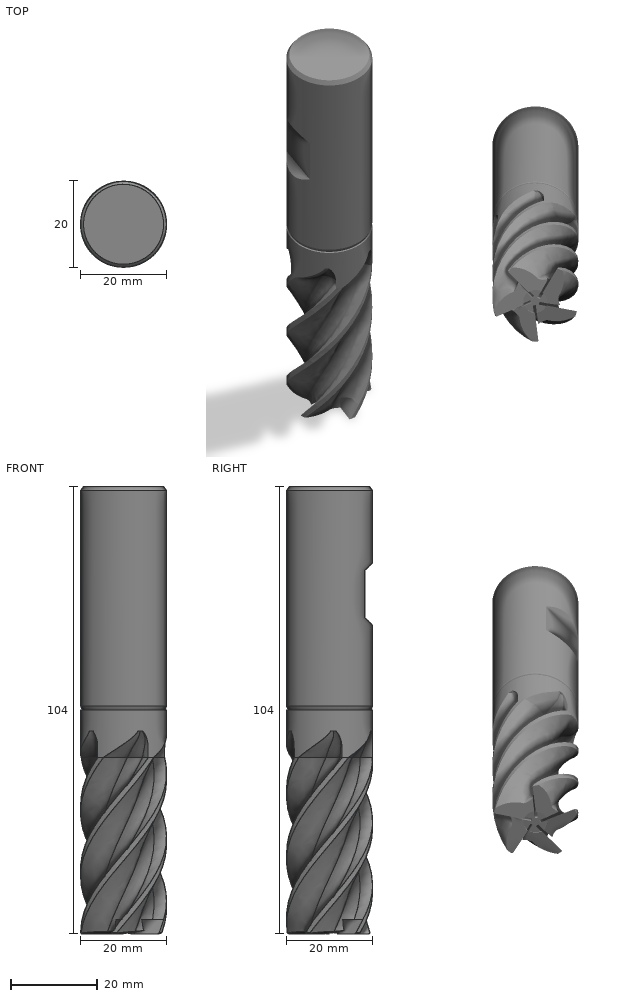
import cadquery as cq
import math

radius = 10.0
total_length = 104.0
cutting_length = 41.0

shank_bottom = 53.0
shank_chamfer_height = 1.0
shank_chamfer_width = 0.7
neck_top = 52.0
neck_radius = radius
neck_groove_radius = 9.6

flat_depth = 1.8
flat_length = 11.0
flat_center_z = 79.0

tooth_count = 5
tooth_pitch = 360.0 / tooth_count
helix_angle = 40.2
lead = 2 * math.pi * radius / math.tan(math.radians(helix_angle))
twist = 360.0 * cutting_length / lead
tip_phase = 34.5

margin_angle = 9.0
relief_bulge = 0.6
root_start_radius = 5.5
root_start_angle = 46.0
root_middle_radius = 5.6
root_middle_angle = 63.0
rake_foot_radius = 7.1
rake_foot_angle = 75.0

runout_height = 6.2
runout_end_scale = 0.1
runout_end_lead = 9.0
runout_rounding = 4
runout_steps = 4

corner_chamfer = 0.3
end_relief_angle = 9.0
gash_height = 3.4
gash_edge_offset = 0.4
gash_face_angle = 35.0
gash_start_radius = 1.0
center_recess_radius = 2.8
center_recess_depth = 0.4

overshoot = 2.0


def polar(r, angle):
    a = math.radians(angle)
    return (r * math.cos(a), r * math.sin(a))


def bulged_middle(start, end, bulge):
    """Middle of a chord, moved to its right by the bulge."""
    dx = end[0] - start[0]
    dy = end[1] - start[1]
    chord = math.hypot(dx, dy)
    return (
        (start[0] + end[0]) / 2 + bulge * dy / chord,
        (start[1] + end[1]) / 2 - bulge * dx / chord,
    )


def tooth_section():
    """Cross-section of the fluted cutter at its tip."""
    outline = cq.Workplane("XY").moveTo(*polar(radius, tip_phase))
    for tooth in range(tooth_count):
        edge = tip_phase + tooth * tooth_pitch
        heel = polar(radius, edge + margin_angle)
        root_start = polar(root_start_radius, edge + root_start_angle)
        outline = (
            outline
            .threePointArc(polar(radius, edge + margin_angle / 2), heel)
            .threePointArc(bulged_middle(heel, root_start, relief_bulge), root_start)
            .threePointArc(
                polar(root_middle_radius, edge + root_middle_angle),
                polar(rake_foot_radius, edge + rake_foot_angle),
            )
        )
        if tooth < tooth_count - 1:
            outline = outline.lineTo(*polar(radius, edge + tooth_pitch))
    return outline.close()


def radial_prism(profile, start, angle):
    """Prism running outwards along a radius; its profile is (distance behind the radius, height)."""
    return (
        cq.Workplane("YZ", origin=(start, 0, 0))
        .polyline(profile)
        .close()
        .extrude(radius + overshoot - start)
        .rotate((0, 0, 0), (0, 0, 1), angle)
    )


def end_relief(angle):
    """Wedge below one tooth, kept within the sector up to the next cutting edge."""
    reach = radius + overshoot
    rise = reach * math.tan(math.radians(end_relief_angle))
    wedge = radial_prism([(gash_edge_offset, 0), (reach, 0), (reach, rise)], 0, angle)
    sector = (
        cq.Workplane("XY")
        .lineTo(*polar(reach, angle))
        .threePointArc(polar(reach, angle + tooth_pitch / 2), polar(reach, angle + tooth_pitch))
        .close()
        .extrude(rise)
    )
    return wedge.intersect(sector)


def end_gash(angle):
    """Notch in front of one end tooth, with a flat floor and a leaning tooth face."""
    top_offset = gash_edge_offset + gash_height * math.tan(math.radians(gash_face_angle))
    profile = [(0, 0), (gash_edge_offset, 0), (top_offset, gash_height), (0, gash_height)]
    return radial_prism(profile, gash_start_radius, angle)


def corner_ring():
    """Ring that chamfers the outer corners of the teeth."""
    inner = radius - corner_chamfer
    outer = radius + overshoot
    return (
        cq.Workplane("XZ")
        .polyline([(inner, 0), (outer, outer - inner), (outer, 0)])
        .close()
        .revolve(360, (0, 0, 0), (0, 1, 0))
    )


def make_cutter():
    """Fluted cutting end with its end teeth."""
    fluted = tooth_section().twistExtrude(cutting_length, twist).val()
    center_recess = cq.Workplane("XY").circle(center_recess_radius).extrude(center_recess_depth)
    end_cuts = [center_recess.val()]
    for tooth in range(tooth_count):
        edge = tip_phase + tooth * tooth_pitch
        end_cuts.append(end_relief(edge).val())
        end_cuts.append(end_gash(edge).val())
    return cq.Workplane(fluted.cut(*end_cuts)).cut(corner_ring())


def runout_wire(height, scale, edge):
    """Flute section shrunk towards the cutting edge it leads up to."""
    def place(r, angle):
        return polar(radius - (radius - r) * scale, edge - (tooth_pitch - angle) * scale)

    heel = place(radius, margin_angle)
    root_start = place(root_start_radius, root_start_angle)
    return (
        cq.Workplane("XY", origin=(0, 0, height))
        .moveTo(*polar(radius + overshoot, edge - (tooth_pitch - margin_angle) * scale))
        .lineTo(*heel)
        .threePointArc(bulged_middle(heel, root_start, relief_bulge * scale), root_start)
        .threePointArc(
            place(root_middle_radius, root_middle_angle),
            place(rake_foot_radius, rake_foot_angle),
        )
        .lineTo(*place(radius, tooth_pitch))
        .lineTo(*polar(radius + overshoot, edge))
        .close()
        .val()
    )


def make_runout(tooth):
    """Fading end of one flute: it rises parallel to the axis and rounds off at the top."""
    edge = tip_phase + twist + tooth * tooth_pitch
    sections = []
    for step in range(runout_steps + 1):
        progress = step / runout_steps
        scale = 1 - (1 - runout_end_scale) * progress
        lead_angle = runout_end_lead * progress ** runout_rounding
        height = cutting_length + runout_height * progress
        sections.append(runout_wire(height, scale, edge - lead_angle))
    return cq.Workplane(cq.Solid.makeLoft(sections))


def make_shank():
    """Plain shank and neck, with the clamping flat and the flute run-outs."""
    shank = (
        cq.Workplane("XZ")
        .moveTo(0, cutting_length)
        .lineTo(neck_radius, cutting_length)
        .lineTo(neck_radius, neck_top)
        .lineTo(neck_groove_radius, neck_top)
        .lineTo(radius, shank_bottom)
        .lineTo(radius, total_length - shank_chamfer_height)
        .lineTo(radius - shank_chamfer_width, total_length)
        .lineTo(0, total_length)
        .close()
        .revolve(360, (0, 0, 0), (0, 1, 0))
    )
    half_flat = flat_length / 2
    half_mouth = half_flat + flat_depth
    flat = (
        cq.Workplane("YZ")
        .polyline([
            (radius - flat_depth, flat_center_z - half_flat),
            (radius, flat_center_z - half_mouth),
            (radius + overshoot, flat_center_z - half_mouth),
            (radius + overshoot, flat_center_z + half_mouth),
            (radius, flat_center_z + half_mouth),
            (radius - flat_depth, flat_center_z + half_flat),
        ])
        .close()
        .extrude(radius, both=True)
    )
    shank = shank.cut(flat)
    for tooth in range(tooth_count):
        shank = shank.cut(make_runout(tooth))
    return shank


cutter = make_cutter()
shank = make_shank()
result = cq.Compound.makeCompound([cutter.solids().val(), shank.solids().val()])